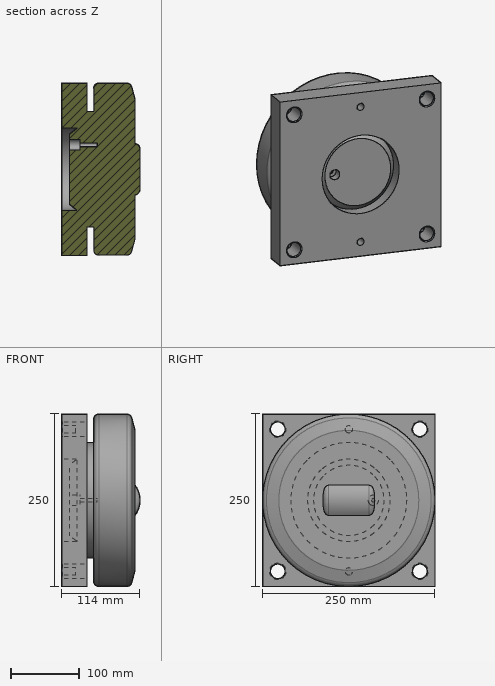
import cadquery as cq
import math

plate_size = 250.0
plate_thickness = 37.0

neck_radius = 84.0
wheel_back = 46.5
wheel_front = 106.8
wheel_radius = plate_size / 2
rim_fillet = 7.5
face_radius = 101.5
taper_angle = 15.0

knob_tip = 114.0
knob_radius = 36.5
knob_length = 75.0
knob_fillet = 8.2

pocket_radius = 59.8
pocket_depth = 22.5
plateau_radius = 51.0
plateau_depth = 11.5

port_offset = 35.5
port_radius = 7.5
port_depth = 15.0
port_core_radius = 2.5
port_core_depth = 25.0

hole_offset = 103.0
bolt_hole_radius = 10.5
bolt_hole_chamfer = 1.5
pin_hole_radius = 5.2
pin_hole_depth = 20.0


def cylinder_along_x(radius, start, end, y=0.0, z=0.0):
    return cq.Workplane("YZ", origin=(start, y, z)).circle(radius).extrude(end - start)


def cone_along_x(start_radius, end_radius, length, start=0.0, y=0.0, z=0.0):
    return cq.Workplane(
        cq.Solid.makeCone(
            start_radius, end_radius, length, pnt=cq.Vector(start, y, z), dir=cq.Vector(1, 0, 0)
        )
    )


def make_wheel():
    """Wheel with a rounded back rim and a front rim rounded into a taper."""
    taper = math.radians(taper_angle)
    fillet_width = rim_fillet * math.cos(taper)
    fillet_drop = rim_fillet * (1 - math.sin(taper))
    taper_start_radius = wheel_radius - fillet_drop
    taper_start = wheel_front - (taper_start_radius - face_radius) * math.tan(taper)
    tread_end = taper_start - fillet_width
    half_turn = (math.pi / 2 - taper) / 2
    front_middle = (
        tread_end + rim_fillet * math.sin(half_turn),
        wheel_radius - rim_fillet * (1 - math.cos(half_turn)),
    )
    diagonal = rim_fillet * (1 - math.sqrt(0.5))
    back_middle = (wheel_back + diagonal, wheel_radius - diagonal)
    return (
        cq.Workplane("XY")
        .moveTo(wheel_back, 0)
        .lineTo(wheel_back, wheel_radius - rim_fillet)
        .threePointArc(back_middle, (wheel_back + rim_fillet, wheel_radius))
        .lineTo(tread_end, wheel_radius)
        .threePointArc(front_middle, (taper_start, taper_start_radius))
        .lineTo(wheel_front, face_radius)
        .lineTo(wheel_front, 0)
        .close()
        .revolve(360, (0, 0, 0), (1, 0, 0))
    )


def make_knob():
    return (
        cq.Workplane("XZ", origin=(knob_tip - knob_radius, knob_length / 2, 0))
        .circle(knob_radius)
        .extrude(knob_length)
        .faces("<Y or >Y")
        .fillet(knob_fillet)
    )


plate = cq.Workplane("YZ").rect(plate_size, plate_size).extrude(plate_thickness)
neck = cylinder_along_x(neck_radius, plate_thickness, wheel_back)
result = plate.union(neck).union(make_wheel()).union(make_knob())

plateau = cone_along_x(
    plateau_radius, pocket_radius, pocket_depth - plateau_depth, start=plateau_depth
)
pocket = cylinder_along_x(pocket_radius, 0, pocket_depth).cut(plateau)
result = result.cut(pocket)

port_end = plateau_depth + port_depth
result = result.cut(cylinder_along_x(port_radius, plateau_depth, port_end, y=port_offset))
result = result.cut(
    cylinder_along_x(port_core_radius, port_end, port_end + port_core_depth, y=port_offset)
)

mouth_radius = bolt_hole_radius + bolt_hole_chamfer
for z_side in (-1, 1):
    z = z_side * hole_offset
    result = result.cut(cylinder_along_x(pin_hole_radius, 0, pin_hole_depth, z=z))
    for y_side in (-1, 1):
        y = y_side * hole_offset
        result = result.cut(cylinder_along_x(bolt_hole_radius, 0, plate_thickness, y, z))
        mouth = cone_along_x(mouth_radius, bolt_hole_radius, bolt_hole_chamfer, y=y, z=z)
        result = result.cut(mouth)